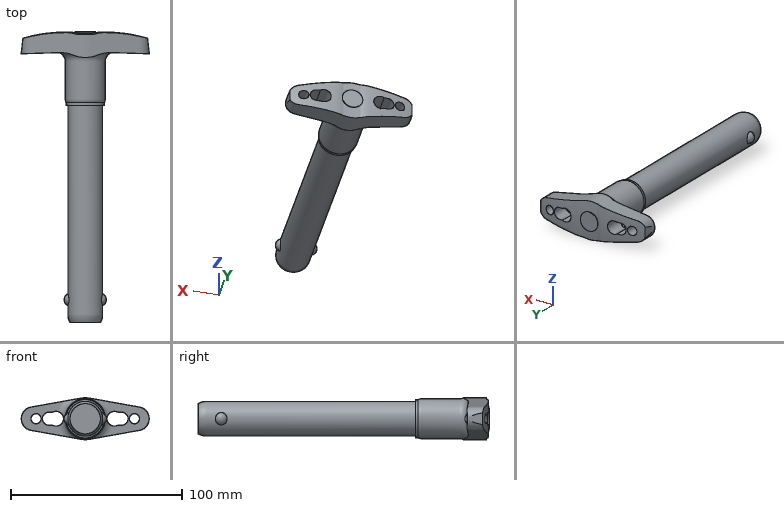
import cadquery as cq
import math

total_length = 170.1

shank_radius = 10.2
tip_radius = 8.8
tip_taper_length = 4.3
ball_radius = 3.7
ball_reach = 12.5
ball_from_tip = 13.5

collar_radius = 11.7
collar_lip_radius = 11.2
collar_end = 43.0
collar_lip_length = 1.5
collar_rounding_length = 1.9
root_fillet = 5.1

handle_length = 74.8
handle_height = 24.7
handle_end_radius = 7.0
handle_side_angle = math.radians(10)
handle_middle_radius = 13.6
underside_inner_depth = 12.2
underside_end_depth = 13.0
underside_slope_start_x = 13.6
underside_slope_end_x = 35.5
crest_x = 10.5
saddle_half_width = 5.1
saddle_depth = 0.9
crown_end_depth = 4.0
bow_radius = 102.0
tip_face_lean = 1.4
tip_face_start_depth = 11.9

small_hole_x = 28.7
small_hole_radius = 2.9
slot_inner_x = 17.0
slot_inner_radius = 4.3
slot_start_x = 13.6
slot_end_x = 25.0
slot_radius = 3.7

button_radius = 6.1
button_foot_radius = 4.8
button_cone_depth = 1.4

half_length = handle_length / 2
half_height = handle_height / 2


def revolve_about_pin(outline):
    """Turn a closed (radius, y) outline in the XY plane about the Y axis."""
    return outline.close().revolve(360, (0, 0, 0), (0, 1, 0))


def along_pin(x, radius):
    """Cylinder parallel to the pin, longer than the handle is deep."""
    return cq.Workplane("XZ").center(x, 0).circle(radius).extrude(collar_end)


def make_shank():
    shank = (
        cq.Workplane("XY")
        .moveTo(0, -collar_end + collar_lip_length)
        .lineTo(shank_radius, -collar_end + collar_lip_length)
        .lineTo(shank_radius, tip_taper_length - total_length)
        .tangentArcPoint((tip_radius, -total_length), relative=False)
        .lineTo(0, -total_length)
    )
    return revolve_about_pin(shank)


def make_collar():
    lip_start = collar_end - collar_lip_length
    collar = (
        cq.Workplane("XY")
        .moveTo(0, -underside_inner_depth)
        .lineTo(collar_radius, -underside_inner_depth)
        .lineTo(collar_radius, collar_rounding_length - lip_start)
        .tangentArcPoint((collar_lip_radius, -lip_start), relative=False)
        .lineTo(collar_lip_radius, -collar_end)
        .lineTo(0, -collar_end)
    )
    return revolve_about_pin(collar)


def make_root_fillet():
    fillet_mid = root_fillet * (1 - math.sqrt(0.5))
    root_depth = underside_inner_depth / 2
    flare = (
        cq.Workplane("XY")
        .moveTo(0, -root_depth)
        .lineTo(collar_radius + root_fillet, -root_depth)
        .lineTo(collar_radius + root_fillet, -underside_inner_depth)
        .threePointArc(
            (collar_radius + fillet_mid, -underside_inner_depth - fillet_mid),
            (collar_radius, -underside_inner_depth - root_fillet),
        )
        .lineTo(0, -underside_inner_depth - root_fillet)
    )
    return revolve_about_pin(flare)


def make_plan():
    """Rhombic handle outline with a rounded middle and round ends, as a tall prism."""
    sine = math.sin(handle_side_angle)
    cosine = math.cos(handle_side_angle)
    mid_x = handle_middle_radius * sine
    mid_z = half_height - handle_middle_radius * (1 - cosine)
    end_x = half_length - handle_end_radius * (1 - sine)
    end_z = handle_end_radius * cosine
    return (
        cq.Workplane("XZ")
        .moveTo(-mid_x, mid_z)
        .threePointArc((0, half_height), (mid_x, mid_z))
        .lineTo(end_x, end_z)
        .threePointArc((half_length, 0), (end_x, -end_z))
        .lineTo(mid_x, -mid_z)
        .threePointArc((0, -half_height), (-mid_x, -mid_z))
        .lineTo(-end_x, -end_z)
        .threePointArc((-half_length, 0), (-end_x, end_z))
        .close()
        .extrude(collar_end)
    )


def level_arc_middle(end):
    """Middle point of the arc that leaves the crest level and comes down to end."""
    run = end[0] - crest_x
    drop = -end[1]
    radius = (run**2 + drop**2) / (2 * drop)
    half_turn = math.asin(run / radius) / 2
    return (crest_x + radius * math.sin(half_turn), radius * (math.cos(half_turn) - 1))


def make_half_back():
    """The +X half of the handle back: saddle, crest and falling crown, bowed across Z."""
    crown_end = (half_length, -crown_end_depth)
    saddle_edge = (saddle_half_width, -saddle_depth)
    return (
        cq.Workplane("XY")
        .moveTo(0, -saddle_depth)
        .lineTo(*saddle_edge)
        .threePointArc(level_arc_middle(saddle_edge), (crest_x, 0))
        .threePointArc(level_arc_middle(crown_end), crown_end)
        .lineTo(half_length, -bow_radius)
        .lineTo(0, -bow_radius)
        .close()
        .revolve(360, (0, -bow_radius, 0), (1, -bow_radius, 0))
    )


def make_arms():
    """Underside and leaning tip faces of the handle, still flat across the back."""
    right_side = [
        (underside_slope_start_x, -underside_inner_depth),
        (underside_slope_end_x, -underside_end_depth),
        (half_length, -underside_end_depth),
        (half_length, -tip_face_start_depth),
        (half_length - tip_face_lean, 0),
    ]
    left_side = [(-x, y) for x, y in reversed(right_side)]
    return cq.Workplane("XY").polyline(right_side + left_side).close().extrude(half_height, both=True)


def cut_openings(handle):
    for side in (-1, 1):
        handle = handle.cut(along_pin(side * small_hole_x, small_hole_radius))
        handle = handle.cut(along_pin(side * slot_inner_x, slot_inner_radius))
        slot_center = side * (slot_start_x + slot_end_x) / 2
        slot = cq.Workplane("XZ").center(slot_center, 0)
        slot = slot.slot2D(slot_end_x - slot_start_x, 2 * slot_radius)
        handle = handle.cut(slot.extrude(collar_end))
    return handle


def make_handle():
    half_back = make_half_back()
    back = half_back.union(half_back.mirror("YZ"))
    bar = make_arms().intersect(make_plan()).intersect(back)
    flare = make_root_fillet().intersect(make_plan())
    return cut_openings(bar.union(flare))


def make_button():
    button = (
        cq.Workplane("XY")
        .lineTo(button_radius, 0)
        .lineTo(button_foot_radius, -button_cone_depth)
        .lineTo(0, -button_cone_depth)
    )
    return revolve_about_pin(button)


def make_balls():
    ball_y = ball_from_tip - total_length
    ball_x = ball_reach - ball_radius
    return cq.Workplane("XY").pushPoints([(-ball_x, ball_y), (ball_x, ball_y)]).sphere(ball_radius)


result = (
    make_handle()
    .union(make_collar())
    .union(make_shank())
    .union(make_button())
    .union(make_balls())
)